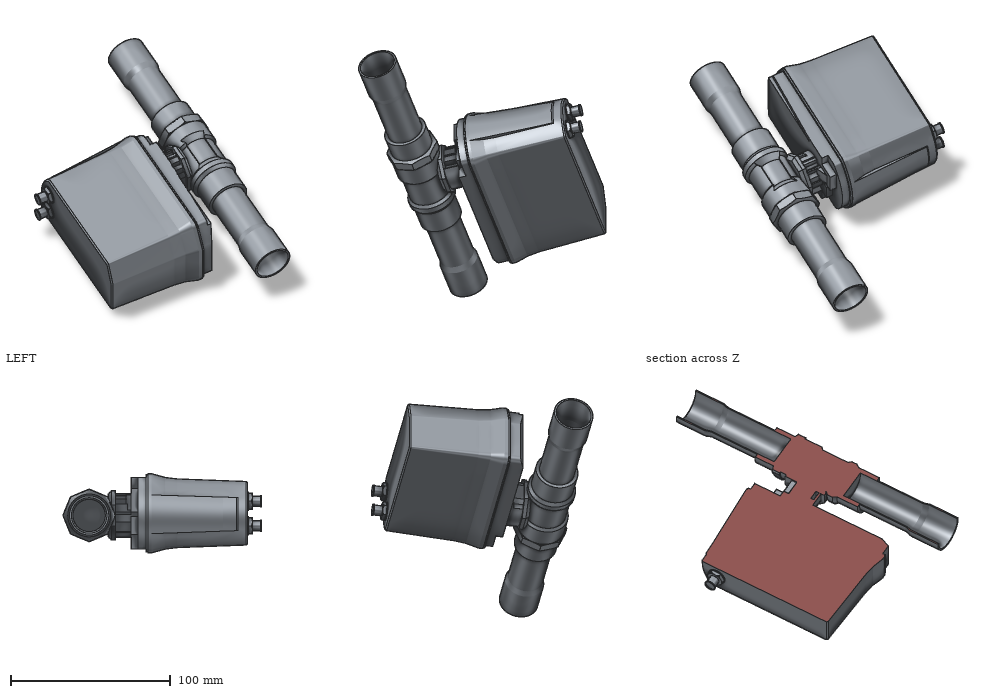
import cadquery as cq
import math

PIPE_LENGTH = 191.0
HALF_LENGTH = PIPE_LENGTH / 2
SOCKET_RADIUS = 12.3
SOCKET_BORE_RADIUS = 11.1
PIPE_RADIUS = 11.1
PIPE_BORE_RADIUS = 10.1
COLLAR_RADIUS = 13.4
BODY_RADIUS = 15.1
SOCKET_DEPTH = 20.4
TAPER_END = 24.4
COLLAR_START = 58.0
BORE_DEPTH = 70.0

NUT_START_X = -24.2
NUT_END_X = -17.8
NUT_CIRCUMRADIUS = 16.5
NUT_SIDES = 8
NUT_RIGHT_FACE_RADIUS = 15.8
NUT_LEFT_CHAMFER_LENGTH = 1.1
NUT_RIGHT_CHAMFER_LENGTH = 0.5
BODY_END_X = -5.4
BODY_TAPER_END_X = -3.8
RING_START_X = 14.5
RING_FACE_X = 16.3
RING_TAPER_X = 20.0
RING_END_X = 22.3

POCKET_FLOOR_RADIUS = 12.4
POCKET_HALF_WIDTH = 6.4
POCKET_LEFT_HALF_WIDTH = 8.1
POCKET_RIGHT_HALF_WIDTH = 9.2
POCKET_X = (-9.0, -5.0, 11.9, RING_FACE_X)

FLANGE_CENTER_X = 0.6
FLANGE_WIDTH = 28.8
FLANGE_HEIGHT = 31.0
FLANGE_TOP_Y = -11.8
FLANGE_BOTTOM_Y = -16.4
FLANGE_CORNER = 8.9
FLANGE_BEVEL = 2.2
NECK_RADIUS = 13.8
NECK_LEFT_X = -8.7
NECK_RIGHT_X = 12.7
NECK_SLOT_WIDTH = 1.9
NECK_SLOT_END_Y = -22.4
NECK_THROUGH_SLOT_X = 9.9
NECK_BLIND_SLOT_X = 5.9
NECK_BLIND_SLOT_FLOOR_Z = 8.0
NECK_GROOVE_DEPTH = 3.5
NECK_TOP_GROOVES_X = ((-5.0, -1.2), (0.6, 1.6))
NECK_GROOVES_Z = ((7.2, 12.2), (0.7, 2.2), (-10.2, -4.0))

HOUSING_LEFT = -29.4
HOUSING_RIGHT = 71.6
HOUSING_TOP = 26.1
HOUSING_BOTTOM = -23.4
LEFT_ARC_MID_Z = -0.5
TOP_LEFT_X = -16.0
BOTTOM_LEFT_X = -19.0
TOP_RIGHT_X = 63.0
SLOPE_END_Z = 9.5
CORNER_RADIUS = 6.0
CORNER_RADIUS_LOSS = 0.9
LEFT_CORNER_SHIFT = 0.2
LEFT_SHIFT = 0.9
RIGHT_SHIFT = 0.95
TOP_RIGHT_SHIFT = 0.4
SLOPE_END_SHIFT = 0.6

LID_BACK_Y = -26.2
LID_SHELF_Y = -30.6
LID_FRONT_Y = -35.6
LID_INSET = 2.3
RIM_STEP_Y = -36.7
RIM_STEP_INSET = 0.6
RIM_FRONT_Y = -39.3
SHELL_SECTIONS = ((RIM_FRONT_Y, 0.0), (-47.6, 2.3), (-55.2, 3.2), (-98.2, 4.8), (-99.2, 5.6))

SHELF_END_X = -7.8
LID_BLOCKS = ((-19.0, 2.3, 17.0), (-14.0, -12.0, -0.7))
POINTER_X = (-17.0, -7.0)
POINTER_Z = (3.4, 13.0)
POINTER_TAIL_Y = -27.2
POINTER_TIP_Y = -23.2
LID_BEVEL_X = 63.1
LID_BEVEL_DROP = 2.8
LID_STEP_START_X = 9.0
LID_STEP_FLOOR_Z = 20.8

PANEL_START_Z = (-11.4, 12.8)
PANEL_END_Z = (-9.5, 11.2)
PANEL_SECTIONS = ((RIM_FRONT_Y, 0.0), (-84.0, 3.5), (-92.2, 3.9), (-93.2, 4.7))

CONNECTOR_X = -13.6
CONNECTORS_Z = (8.9, -6.5)
CONNECTOR_HEX_FLATS = 10.1
CONNECTOR_WASHER_RADIUS = 5.8
CONNECTOR_WASHER_LENGTH = 0.6
CONNECTOR_HEX_BEVEL = 0.7
CONNECTOR_RADIUS = 3.2
CONNECTOR_HEX_END_Y = -102.1
CONNECTOR_END_Y = -107.96
CONNECTOR_RIM_RADIUS = 3.6
CONNECTOR_RIM_LENGTH = 0.7


def box_between(x_range, y_range, z_range):
    """Box spanning the given (start, end) ranges."""
    sizes = [abs(r[1] - r[0]) for r in (x_range, y_range, z_range)]
    middles = [(r[0] + r[1]) / 2 for r in (x_range, y_range, z_range)]
    return cq.Workplane("XY").box(*sizes).translate(tuple(middles))


def plane_at(y):
    """XZ plane at the given Y; extrusions from it run toward -Y."""
    return cq.Workplane("XZ", origin=(0, y, 0))


def turn(profile):
    """Solid turned about the X axis from (X, radius) points."""
    outline = [(profile[0][0], 0)] + profile + [(profile[-1][0], 0)]
    return cq.Workplane("XY").polyline(outline).close().revolve(360, (0, 0, 0), (1, 0, 0))


def turned_body():
    profile = [
        (-HALF_LENGTH, SOCKET_RADIUS),
        (-HALF_LENGTH + SOCKET_DEPTH, SOCKET_RADIUS),
        (-HALF_LENGTH + TAPER_END, PIPE_RADIUS),
        (-HALF_LENGTH + COLLAR_START, PIPE_RADIUS),
        (-HALF_LENGTH + COLLAR_START, COLLAR_RADIUS),
        (NUT_END_X, COLLAR_RADIUS),
        (NUT_END_X, BODY_RADIUS),
        (BODY_END_X, BODY_RADIUS),
        (BODY_TAPER_END_X, COLLAR_RADIUS),
        (RING_START_X, COLLAR_RADIUS),
        (RING_FACE_X, BODY_RADIUS),
        (RING_TAPER_X, BODY_RADIUS),
        (RING_END_X, COLLAR_RADIUS),
        (HALF_LENGTH - COLLAR_START, COLLAR_RADIUS),
        (HALF_LENGTH - COLLAR_START, PIPE_RADIUS),
        (HALF_LENGTH - TAPER_END, PIPE_RADIUS),
        (HALF_LENGTH - SOCKET_DEPTH, SOCKET_RADIUS),
        (HALF_LENGTH, SOCKET_RADIUS),
    ]
    return turn(profile)


def pipe_bore():
    """Stepped bore at the left pipe end, stopping at the closed valve."""
    return turn([
        (-HALF_LENGTH, SOCKET_BORE_RADIUS),
        (-HALF_LENGTH + SOCKET_DEPTH, SOCKET_BORE_RADIUS),
        (-HALF_LENGTH + TAPER_END, PIPE_BORE_RADIUS),
        (-HALF_LENGTH + BORE_DEPTH, PIPE_BORE_RADIUS),
    ])


def union_nut():
    """Octagonal nut whose corners are turned down at both faces."""
    octagon = (
        cq.Workplane("YZ", origin=(NUT_START_X, 0, 0))
        .polygon(NUT_SIDES, 2 * NUT_CIRCUMRADIUS)
        .extrude(NUT_END_X - NUT_START_X)
    )
    turned = turn([
        (NUT_START_X, COLLAR_RADIUS),
        (NUT_START_X + NUT_LEFT_CHAMFER_LENGTH, NUT_CIRCUMRADIUS),
        (NUT_END_X - NUT_RIGHT_CHAMFER_LENGTH, NUT_CIRCUMRADIUS),
        (NUT_END_X, NUT_RIGHT_FACE_RADIUS),
    ])
    return octagon.intersect(turned)


def pocket_strip():
    """Upright prism that bounds the pocket; it widens at both ends."""
    outer_start, floor_start, floor_end, outer_end = POCKET_X
    half_widths = [
        (outer_start, POCKET_LEFT_HALF_WIDTH),
        (floor_start, POCKET_HALF_WIDTH),
        (floor_end, POCKET_HALF_WIDTH),
        (outer_end, POCKET_RIGHT_HALF_WIDTH),
    ]
    far_side = [(x, -half_width) for x, half_width in reversed(half_widths)]
    return cq.Workplane("XY").polyline(half_widths + far_side).close().extrude(BODY_RADIUS + 1)


def valve_pocket():
    """Shallow cutter whose ends ramp up to the body surface."""
    outer_start, floor_start, floor_end, outer_end = POCKET_X
    ring = (
        cq.Workplane("XY")
        .polyline([(outer_start, BODY_RADIUS), (floor_start, POCKET_FLOOR_RADIUS),
                   (floor_end, POCKET_FLOOR_RADIUS), (outer_end, BODY_RADIUS)])
        .close()
        .revolve(360, (0, 0, 0), (1, 0, 0))
    )
    return ring.intersect(pocket_strip())


def pocket_ramp():
    """Ramp that joins the right end of the pocket floor to the crest of the ring."""
    _, _, floor_end, outer_end = POCKET_X
    cone = turn([(floor_end, POCKET_FLOOR_RADIUS), (outer_end, BODY_RADIUS)])
    return cone.intersect(pocket_strip())


def mounting_flange():
    return (
        plane_at(FLANGE_TOP_Y)
        .center(FLANGE_CENTER_X, 0)
        .rect(FLANGE_WIDTH, FLANGE_HEIGHT)
        .extrude(FLANGE_TOP_Y - FLANGE_BOTTOM_Y)
        .edges("|Y")
        .chamfer(FLANGE_CORNER)
        .faces(">Y")
        .edges()
        .chamfer(FLANGE_BEVEL)
    )


def neck():
    column = plane_at(FLANGE_BOTTOM_Y).circle(NECK_RADIUS).extrude(FLANGE_BOTTOM_Y - LID_SHELF_Y)
    full_y = (FLANGE_BOTTOM_Y, LID_SHELF_Y)
    column = column.intersect(
        box_between((NECK_LEFT_X, NECK_RIGHT_X), full_y, (-NECK_RADIUS, NECK_RADIUS))
    )
    slot_y = (FLANGE_BOTTOM_Y, NECK_SLOT_END_Y)
    for slot_x, floor_z in (
        (NECK_THROUGH_SLOT_X, -NECK_RADIUS),
        (NECK_BLIND_SLOT_X, NECK_BLIND_SLOT_FLOOR_Z),
    ):
        slot_range_x = (slot_x - NECK_SLOT_WIDTH / 2, slot_x + NECK_SLOT_WIDTH / 2)
        column = column.cut(box_between(slot_range_x, slot_y, (floor_z, NECK_RADIUS)))
    open_y = (FLANGE_BOTTOM_Y, LID_BACK_Y)
    for groove_range_z in NECK_GROOVES_Z:
        groove_range_x = (NECK_LEFT_X, NECK_LEFT_X + NECK_GROOVE_DEPTH)
        column = column.cut(box_between(groove_range_x, open_y, groove_range_z))
    for groove_range_x in NECK_TOP_GROOVES_X:
        groove_range_z = (NECK_RADIUS - NECK_GROOVE_DEPTH, NECK_RADIUS)
        column = column.cut(box_between(groove_range_x, open_y, groove_range_z))
    return column


def housing_outline(inset):
    """Housing outline moved inward: round left side, sloped upper right corner."""
    left = HOUSING_LEFT + LEFT_SHIFT * inset
    right = HOUSING_RIGHT - RIGHT_SHIFT * inset
    top = HOUSING_TOP - inset
    bottom = HOUSING_BOTTOM + inset
    top_left = (TOP_LEFT_X + LEFT_CORNER_SHIFT * inset, top)
    bottom_left = (BOTTOM_LEFT_X + LEFT_CORNER_SHIFT * inset, bottom)
    top_right = (TOP_RIGHT_X - TOP_RIGHT_SHIFT * inset, top)
    slope_end = (right, SLOPE_END_Z - SLOPE_END_SHIFT * inset)
    bottom_right = (right, bottom)
    return (
        cq.Sketch()
        .arc(bottom_left, (left, LEFT_ARC_MID_Z), top_left)
        .segment(top_left, top_right)
        .segment(top_right, slope_end)
        .segment(slope_end, bottom_right)
        .segment(bottom_right, bottom_left)
        .assemble()
        .vertices()
        .fillet(CORNER_RADIUS - CORNER_RADIUS_LOSS * inset)
    )


def housing_slab(inset, start_y, end_y):
    return plane_at(start_y).placeSketch(housing_outline(inset)).extrude(start_y - end_y)


def housing_loft(start, end):
    """Straight-sided stage between two (Y, inset) sections."""
    start_y, start_inset = start
    end_y, end_inset = end
    first = housing_outline(start_inset)
    second = housing_outline(end_inset).moved(cq.Location(cq.Vector(0, 0, start_y - end_y)))
    return plane_at(start_y).placeSketch(first, second).loft(ruled=True)


def housing_stages(sections):
    """Stack of straight-sided stages through all (Y, inset) sections."""
    stages = [housing_loft(start, end) for start, end in zip(sections, sections[1:])]
    body = stages[0]
    for stage in stages[1:]:
        body = body.union(stage)
    return body


def lid():
    plate = housing_slab(LID_INSET, LID_SHELF_Y, LID_FRONT_Y)
    raised = housing_slab(LID_INSET, LID_BACK_Y, LID_SHELF_Y)
    lid_y = (LID_BACK_Y, LID_SHELF_Y)
    kept = box_between((SHELF_END_X, HOUSING_RIGHT), lid_y, (HOUSING_BOTTOM, HOUSING_TOP))
    for block_left, low_z, high_z in LID_BLOCKS:
        kept = kept.union(box_between((block_left, SHELF_END_X), lid_y, (low_z, high_z)))
    raised = raised.intersect(kept)

    height = HOUSING_TOP - HOUSING_BOTTOM
    lid_right = HOUSING_RIGHT - RIGHT_SHIFT * LID_INSET
    end_bevel = (
        cq.Workplane("XY", origin=(0, 0, HOUSING_BOTTOM))
        .polyline([(LID_BEVEL_X, LID_BACK_Y), (lid_right, LID_BACK_Y),
                   (lid_right, LID_BACK_Y - LID_BEVEL_DROP)])
        .close()
        .extrude(height)
    )
    sloped_step = (
        cq.Workplane("XY", origin=(0, 0, LID_STEP_FLOOR_Z))
        .polyline([(LID_STEP_START_X, LID_BACK_Y), (lid_right, LID_BACK_Y),
                   (lid_right, LID_BACK_Y - LID_BEVEL_DROP)])
        .close()
        .extrude(HOUSING_TOP - LID_STEP_FLOOR_Z)
    )
    return plate.union(raised.cut(end_bevel).cut(sloped_step))


def pointer():
    """Sloped rib rising from the lid toward the neck."""
    tail_x, tip_x = POINTER_X
    low_z, high_z = POINTER_Z
    return (
        cq.Workplane("XY", origin=(0, 0, low_z))
        .polyline([(tail_x, LID_SHELF_Y), (tail_x, POINTER_TAIL_Y), (tip_x, POINTER_TIP_Y),
                   (tip_x, LID_SHELF_Y)])
        .close()
        .extrude(high_z - low_z)
    )


def side_panel():
    """Part of a straight taper from rim to front that stays proud of the hollowed shell."""
    taper = housing_stages(PANEL_SECTIONS)
    end_y = PANEL_SECTIONS[-1][0]
    start_low, start_high = PANEL_START_Z
    end_low, end_high = PANEL_END_Z
    band = (
        cq.Workplane("YZ", origin=(HOUSING_LEFT - 1, 0, 0))
        .polyline([(RIM_FRONT_Y, start_low), (RIM_FRONT_Y, start_high),
                   (end_y, end_high), (end_y, end_low)])
        .close()
        .extrude(CONNECTOR_X - HOUSING_LEFT)
    )
    return taper.intersect(band)


def housing():
    body = lid()
    body = body.union(housing_slab(RIM_STEP_INSET, LID_FRONT_Y, RIM_STEP_Y))
    body = body.union(housing_slab(0.0, RIM_STEP_Y, RIM_FRONT_Y))
    return body.union(housing_stages(SHELL_SECTIONS)).union(pointer()).union(side_panel())


def connector_disc(z, radius, start_y, end_y):
    return plane_at(start_y).center(CONNECTOR_X, z).circle(radius).extrude(start_y - end_y)


def connector(z):
    """Washer, hexagonal nut with a bevelled front, and a stub with a rim at its end."""
    front_y = SHELL_SECTIONS[-1][0]
    washer_end_y = front_y - CONNECTOR_WASHER_LENGTH
    rim_start_y = CONNECTOR_END_Y + CONNECTOR_RIM_LENGTH
    hex_diameter = CONNECTOR_HEX_FLATS / math.cos(math.pi / 6)
    hex_nut = (
        plane_at(front_y)
        .center(CONNECTOR_X, z)
        .polygon(6, hex_diameter)
        .extrude(front_y - CONNECTOR_HEX_END_Y)
    )
    turned = (
        connector_disc(z, hex_diameter / 2, front_y, CONNECTOR_HEX_END_Y)
        .faces("<Y")
        .edges()
        .chamfer(CONNECTOR_HEX_BEVEL)
    )
    washer = connector_disc(z, CONNECTOR_WASHER_RADIUS, front_y, washer_end_y)
    stub = connector_disc(z, CONNECTOR_RADIUS, front_y, CONNECTOR_END_Y)
    rim = connector_disc(z, CONNECTOR_RIM_RADIUS, rim_start_y, CONNECTOR_END_Y)
    return hex_nut.intersect(turned).union(washer).union(stub).union(rim)


valve = turned_body().union(union_nut()).cut(valve_pocket()).union(pocket_ramp())
valve = valve.union(mounting_flange()).union(neck())
left_bore = pipe_bore()
valve = valve.cut(left_bore).cut(left_bore.mirror("YZ"))

result = valve.union(housing())
for connector_z in CONNECTORS_Z:
    result = result.union(connector(connector_z))